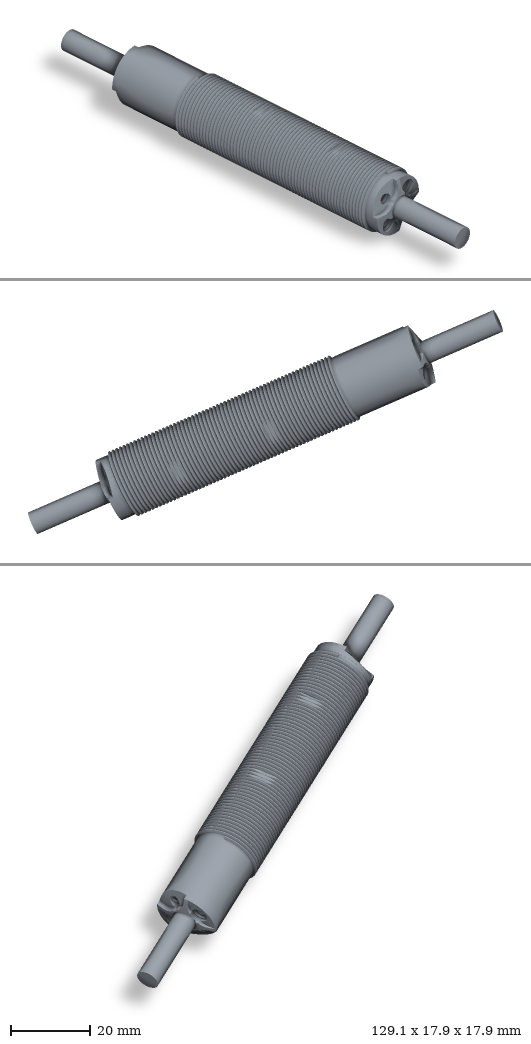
import cadquery as cq
import math

overall_length = 129.1
cable_exposed = 19.9
cap_length = 4.1
dome_height = 1.3
cap_end = overall_length / 2 - cable_exposed
tube_end = cap_end - cap_length

tube_radius = 8.3
thread_start = -22.7

thread_pitch = 1.0
section_turns = 6.2
section_count = 10
crest_radius = 8.97
core_radius = 8.2
ridge_root_width = 0.97
ridge_crest_width = 0.2
ridge_embedment = 0.06
ridge_start_angle = 180

flat_length = 3.0
flat_height = 8.3
flat_centers = (-1.4, 24.3)

cable_radius = 3.0
cable_recess_radius = 3.5
cable_recess_depth = 0.6

rib_width = 1.2
hub_flat_distance = 3.9
hub_fillet = 3.7
level_floor_depth = dome_height
sloped_floor_depth = 0.3
sloped_floor_angle = 20.0

sloped_floor_hole_radii = (1.5, 1.2)
level_floor_hole_radii = (2.2, 1.8, 1.4)
hole_circle_radius = 5.3
hole_step_depth = 0.6


def x_cylinder(radius, start, end):
    return cq.Workplane("YZ", origin=(start, 0, 0)).circle(radius).extrude(end - start)


def ridge_section():
    """Stretch of helical ridge of trapezoidal section along +Z, starting over the +X axis."""
    embedded_radius = core_radius - ridge_embedment
    section = (
        (embedded_radius, -ridge_root_width / 2),
        (crest_radius, -ridge_crest_width / 2),
        (crest_radius, ridge_crest_width / 2),
        (embedded_radius, ridge_root_width / 2),
    )
    length = section_turns * thread_pitch
    edges = [
        cq.Wire.makeHelix(thread_pitch, length, radius).translate(cq.Vector(0, 0, offset))
        for radius, offset in section
    ]
    faces = [cq.Face.makeRuledSurface(edges[i - 1], edges[i]) for i in range(len(edges))]
    for corners in ([e.startPoint() for e in edges], [e.endPoint() for e in edges]):
        faces.append(cq.Face.makeFromWires(cq.Wire.makePolygon(corners, close=True)))
    return cq.Workplane(cq.Solid.makeSolid(cq.Shell.makeShell(faces)))


def flat_cutters():
    """Blocks above and below the barrel that level the thread at each flat."""
    height = crest_radius
    blocks = cq.Workplane()
    for center in flat_centers:
        for side in (1, -1):
            place = (center, 0, side * (flat_height + height / 2))
            blocks = blocks.add(cq.Workplane().box(flat_length, 2 * crest_radius, height).translate(place))
    return blocks.combine()


def make_housing():
    housing = x_cylinder(tube_radius, -tube_end, thread_start)
    housing = housing.union(x_cylinder(core_radius, thread_start, tube_end))

    section = ridge_section().rotate((0, 0, 0), (0, 1, 0), 90)
    flats = flat_cutters()
    ridge = cq.Workplane()
    for index in range(section_count):
        turns = index * section_turns
        place = (thread_start + ridge_root_width / 2 + turns * thread_pitch, 0, 0)
        angle = ridge_start_angle + 360 * turns
        placed = section.rotate((0, 0, 0), (1, 0, 0), angle).translate(place)
        ridge = ridge.add(placed.cut(flats, clean=False))
    return housing.union(ridge, clean=False)


def domed_blank():
    """Solid cap at the -X end: a short cylinder with a spherical outer face, bored for the cable."""
    rim_x = -cap_end + dome_height
    sphere_radius = (tube_radius**2 + dome_height**2) / (2 * dome_height)
    halfway = tube_radius / 2
    halfway_x = -cap_end + sphere_radius - math.sqrt(sphere_radius**2 - halfway**2)
    half_section = (
        cq.Workplane("XY")
        .moveTo(-tube_end, 0)
        .lineTo(-tube_end, tube_radius)
        .lineTo(rim_x, tube_radius)
        .threePointArc((halfway_x, halfway), (-cap_end, 0))
        .close()
    )
    blank = half_section.revolve(360, (0, 0, 0), (1, 0, 0))
    blank = blank.cut(x_cylinder(cable_radius, -cap_end, -tube_end))
    return blank.cut(x_cylinder(cable_recess_radius, -cap_end, -cap_end + cable_recess_depth))


def quadrant_prism():
    """Outline of one recess between two ribs and the hub, centered on +Y, as a prism along X."""
    half_rib = rib_width / 2
    hub_corner = math.sqrt(2) * hub_flat_distance - half_rib
    far = 2 * tube_radius
    outline = (
        cq.Workplane("YZ", origin=(-cap_end - cap_length, 0, 0))
        .moveTo(half_rib, hub_corner)
        .lineTo(half_rib, far)
        .lineTo(far, far)
        .lineTo(far, half_rib)
        .lineTo(hub_corner, half_rib)
        .close()
        .extrude(2 * cap_length)
    )
    corners = cq.selectors.BoxSelector(
        (-2 * cap_end, 0, 0), (0, hub_corner + half_rib, hub_corner + half_rib)
    )
    rounded = outline.edges("|X").edges(corners).fillet(hub_fillet)
    return rounded.rotate((0, 0, 0), (1, 0, 0), -45)


def floor_cutter(floor_x, angle):
    """Space outside a floor that crosses the axis at floor_x and falls away toward +Y."""
    size = 4 * tube_radius
    block = cq.Workplane().box(size, size, size).translate((-size / 2, 0, 0))
    return block.rotate((0, 0, 0), (0, 0, 1), -angle).translate((floor_x, 0, 0))


def stepped_hole(floor_x, radii):
    """Cutter for a round recess that narrows in equal steps below the floor."""
    hole = cq.Workplane()
    for step, radius in enumerate(radii, 1):
        hole = hole.add(x_cylinder(radius, -cap_end - cap_length, floor_x + step * hole_step_depth))
    return hole.combine().translate((0, hole_circle_radius, 0))


def make_cap():
    level_x = -cap_end + level_floor_depth
    level = quadrant_prism().intersect(floor_cutter(level_x, 0))
    level = level.union(stepped_hole(level_x, level_floor_hole_radii))

    slope_x = -cap_end + sloped_floor_depth
    sloped = quadrant_prism().intersect(floor_cutter(slope_x, sloped_floor_angle))
    hole_x = slope_x + hole_circle_radius * math.tan(math.radians(sloped_floor_angle))
    sloped = sloped.union(stepped_hole(hole_x, sloped_floor_hole_radii))

    cap = domed_blank()
    for recess, angles in ((sloped, (45, 225)), (level, (135, 315))):
        for angle in angles:
            cap = cap.cut(recess.rotate((0, 0, 0), (1, 0, 0), angle))
    return cap


def make_cable():
    return x_cylinder(cable_radius, -overall_length / 2, -tube_end)


housing = make_housing()
end_parts = []
for turn in (0, 180):
    for part in (make_cap(), make_cable()):
        end_parts.append(part.rotate((0, 0, 0), (0, 0, 1), turn).val())
result = cq.Compound.makeCompound([housing.val(), *end_parts])